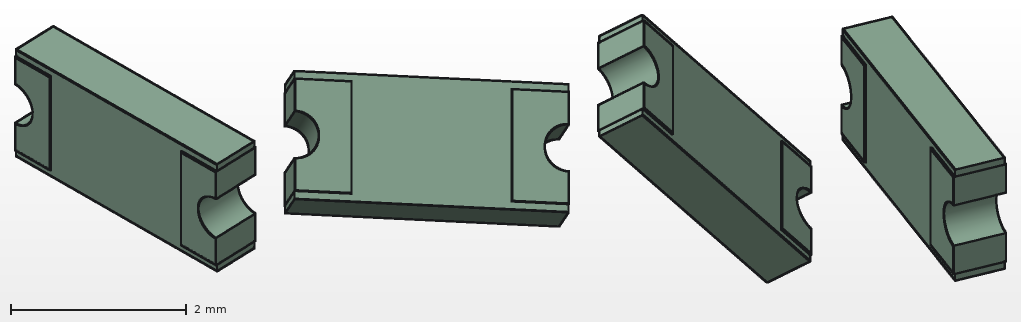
import cadquery as cq

LENGTH = 3.17
DEPTH = 0.66
HEIGHT = 1.52

METAL = 0.02
FRONT_PAD_LENGTH = 0.555
BACK_PAD_LENGTH = 0.66
PAD_MARGIN = 0.095
NOTCH_RADIUS = 0.275

EDGE_CHAMFER = 0.005

BOARD_DEPTH = DEPTH - 2 * METAL
PAD_HEIGHT = HEIGHT - 2 * PAD_MARGIN
HALF_LENGTH = LENGTH / 2
LEFT, RIGHT = -1, 1
FRONT, BACK = -1, 1


def end_block(side, length, depth, height):
    """Box whose outer face lies on the chosen end of the part."""
    x_center = side * (HALF_LENGTH - length / 2)
    return cq.Workplane("XY").box(length, depth, height).translate((x_center, 0, 0))


def notch_cylinder(side, radius):
    """Cylinder along Y, centred on the chosen end face."""
    return (
        cq.Workplane("XZ")
        .center(side * HALF_LENGTH, 0)
        .circle(radius)
        .extrude(DEPTH / 2, both=True)
    )


def make_board():
    """Insulating board, recessed at both ends for the terminal walls."""
    board = cq.Workplane("XY").box(LENGTH, BOARD_DEPTH, HEIGHT).edges("|X").chamfer(EDGE_CHAMFER)
    for side in (LEFT, RIGHT):
        board = board.cut(end_block(side, METAL, BOARD_DEPTH, PAD_HEIGHT))
        board = board.cut(notch_cylinder(side, NOTCH_RADIUS + METAL))
    return board


def make_pad(side, face, length):
    """Notched pad with a chamfered rim, on the board's front (-1) or back (+1) face."""
    outer_face = "<Y" if face == FRONT else ">Y"
    pad_y = face * (DEPTH - METAL) / 2
    return (
        end_block(side, length, METAL, PAD_HEIGHT)
        .translate((0, pad_y, 0))
        .cut(notch_cylinder(side, NOTCH_RADIUS))
        .faces(outer_face)
        .chamfer(EDGE_CHAMFER)
    )


def make_terminal(side, board):
    """Front and back pads joined by an end wall and a lined notch."""
    lining = end_block(side, FRONT_PAD_LENGTH, BOARD_DEPTH, PAD_HEIGHT).cut(board)
    lining = lining.cut(notch_cylinder(side, NOTCH_RADIUS))
    front_pad = make_pad(side, FRONT, FRONT_PAD_LENGTH)
    back_pad = make_pad(side, BACK, BACK_PAD_LENGTH)
    return lining.union(front_pad).union(back_pad)


board = make_board()
terminals = [make_terminal(side, board) for side in (LEFT, RIGHT)]

result = cq.Compound.makeCompound([board.solids().val(), *[terminal.solids().val() for terminal in terminals]])